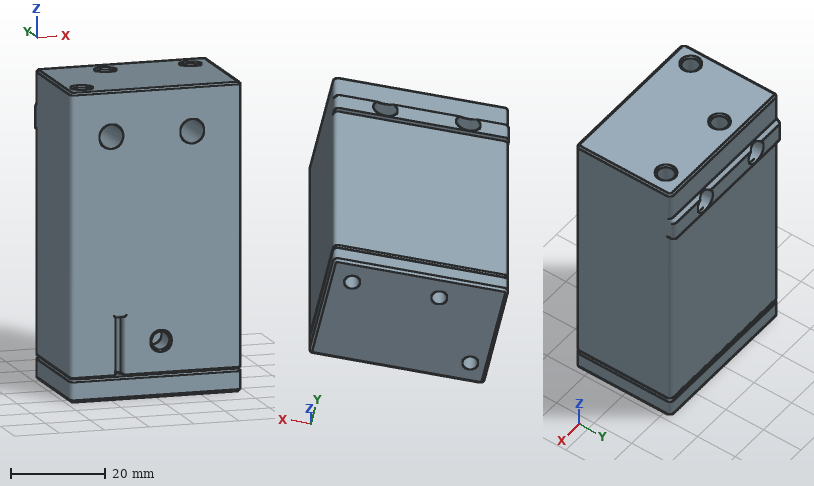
import cadquery as cq

WIDTH = 38.1
HEIGHT = 67.5
DEPTH = 25.25
CORNER_RADIUS = 1.0
EDGE_CHAMFER = 0.5

PLATE_THICKNESS = 5.0
PLATE_FOOT_CHAMFER = 0.6
PLATE_HOLE_DIAMETER = 3.4

PAD_RISE = 0.95
PAD_BOTTOM = 54.7
PAD_TOP = 60.4
TOTAL_DEPTH = DEPTH + PAD_RISE

SCREW_HOLE_DIAMETER = 4.0
SCREW_HOLE_CENTRES = [(-15.05, 5.0), (-5.0, 20.2), (14.0, 20.2)]
MOUTH_CHAMFER = 0.4

CROSS_HOLE_DIAMETER = 5.3
CROSS_HOLE_CENTRES = [(-10.0, 57.5), (8.0, 57.5)]

BLIND_HOLE_DIAMETER = 4.0
BLIND_HOLE_DEPTH = 6.0
BLIND_HOLE_CENTRE = (1.1, 12.3)

SLOT_CENTRE_X = -8.0
SLOT_WIDTH = 1.75
SLOT_TOP = 17.9
SLOT_SHALLOW_DEPTH = 2.5
SLOT_LIP_RADIUS = 0.6


def rounded_block(depth, bottom, top):
    """Upright block from the front face back to the given depth, vertical edges rounded."""
    return (
        cq.Workplane("XY", origin=(0, depth / 2, bottom))
        .rect(WIDTH, depth)
        .extrude(top - bottom)
        .edges("|Z")
        .fillet(CORNER_RADIUS)
    )


def slope_limit():
    """Space below the pad's 45 degree top slope, with both ends of the slope rounded."""
    reach = TOTAL_DEPTH
    return (
        cq.Workplane("YZ", origin=(-WIDTH / 2, 0, 0))
        .moveTo(DEPTH - reach, PAD_TOP + reach)
        .lineTo(DEPTH + reach, PAD_TOP - reach)
        .lineTo(DEPTH - reach, PAD_TOP - reach)
        .close()
        .extrude(WIDTH)
        .edges(cq.selectors.ParallelDirSelector(cq.Vector(0, 1, -1)))
        .fillet(CORNER_RADIUS)
    )


def back_pad():
    """Pad across the full width, square below and sloping into the back face above."""
    return rounded_block(TOTAL_DEPTH, PAD_BOTTOM, PAD_TOP).intersect(slope_limit())


def screw_holes(diameter):
    """The three vertical holes, long enough to pass through every body."""
    return (
        cq.Workplane("XY")
        .pushPoints(SCREW_HOLE_CENTRES)
        .circle(diameter / 2)
        .extrude(HEIGHT)
    )


def mouth_cone(centre, direction, hole_diameter):
    """45 degree countersink at the mouth of a hole that runs along the direction."""
    hole_radius = hole_diameter / 2
    cone = cq.Solid.makeCone(
        hole_radius + MOUTH_CHAMFER, hole_radius, MOUTH_CHAMFER, cq.Vector(*centre), cq.Vector(*direction)
    )
    return cq.Workplane(cone)


def cross_holes():
    return (
        cq.Workplane("XZ")
        .pushPoints(CROSS_HOLE_CENTRES)
        .circle(CROSS_HOLE_DIAMETER / 2)
        .extrude(-TOTAL_DEPTH)
    )


def blind_hole():
    x, z = BLIND_HOLE_CENTRE
    bore = cq.Workplane("XZ").center(x, z).circle(BLIND_HOLE_DIAMETER / 2).extrude(-BLIND_HOLE_DEPTH)
    return bore.union(mouth_cone((x, 0, z), (0, 1, 0), BLIND_HOLE_DIAMETER))


def slot():
    """Upright slot whose floor slants at 45 degrees, deepest along the wall on the -X side."""
    left = SLOT_CENTRE_X - SLOT_WIDTH / 2
    right = left + SLOT_WIDTH
    return (
        cq.Workplane("XY", origin=(0, 0, PLATE_THICKNESS))
        .moveTo(left, 0)
        .lineTo(right, 0)
        .lineTo(right, SLOT_SHALLOW_DEPTH)
        .lineTo(left, SLOT_SHALLOW_DEPTH + SLOT_WIDTH)
        .close()
        .extrude(SLOT_TOP - PLATE_THICKNESS)
    )


def slot_lip_edges():
    """Box around the slot's three edges on the front face."""
    margin = 0.1
    half_width = SLOT_WIDTH / 2 + margin
    return cq.selectors.BoxSelector(
        (SLOT_CENTRE_X - half_width, -margin, PLATE_THICKNESS),
        (SLOT_CENTRE_X + half_width, margin, SLOT_TOP + margin),
    )


def build_housing():
    body = (
        rounded_block(DEPTH, PLATE_THICKNESS, HEIGHT)
        .cut(slot())
        .edges(slot_lip_edges())
        .fillet(SLOT_LIP_RADIUS)
        .faces("<Z or >Z")
        .chamfer(EDGE_CHAMFER)
        .union(back_pad())
        .cut(screw_holes(SCREW_HOLE_DIAMETER))
        .cut(cross_holes())
        .cut(blind_hole())
    )
    for x, y in SCREW_HOLE_CENTRES:
        body = body.cut(mouth_cone((x, y, HEIGHT), (0, 0, -1), SCREW_HOLE_DIAMETER))
    return body


def build_plate():
    return (
        rounded_block(DEPTH, 0, PLATE_THICKNESS)
        .faces(">Z")
        .chamfer(EDGE_CHAMFER)
        .faces("<Z")
        .chamfer(PLATE_FOOT_CHAMFER)
        .cut(screw_holes(PLATE_HOLE_DIAMETER))
    )


housing = build_housing()
base_plate = build_plate()

result = cq.Compound.makeCompound([housing.val(), base_plate.val()])